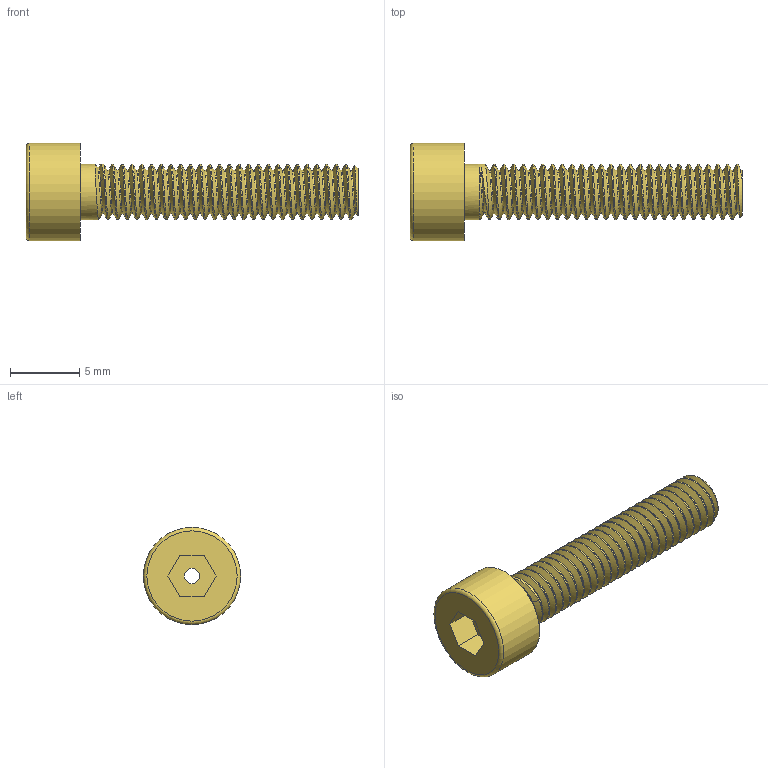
import cadquery as cq
import math

HEAD_DIAMETER = 7.0
HEAD_HEIGHT = 3.91
HEAD_EDGE_RADIUS = 0.25

SOCKET_ACROSS_FLATS = 3.0
SOCKET_DEPTH = 2.0
BORE_DIAMETER = 1.1

THREAD_DIAMETER = 4.0
THREAD_RADIUS = THREAD_DIAMETER / 2
PITCH = 0.7
SHANK_LENGTH = 20.0
TIP_CHAMFER = 0.32

FLANK_HALF_ANGLE = math.radians(30)
CREST_WIDTH = PITCH / 8
ROOT_WIDTH = PITCH / 6
THREAD_DEPTH = (PITCH - CREST_WIDTH - ROOT_WIDTH) / 2 / math.tan(FLANK_HALF_ANGLE)
ROOT_RADIUS = THREAD_RADIUS - THREAD_DEPTH
CUTTER_CLEARANCE = 0.05
CUT_TOLERANCE = 1e-4

FULL_DEPTH_START = 2 * PITCH
FULL_DEPTH_ANGLE = 240
RUN_OUT_ANGLE = 120
RUN_OUT_SECTIONS = 7

TOTAL_LENGTH = HEAD_HEIGHT + SHANK_LENGTH


def on_head_end():
    """Workplane on the outer end of the head; the screw is modelled upright, with its tip up."""
    return cq.Workplane("XY").workplane(offset=-HEAD_HEIGHT)


def make_head():
    head = on_head_end().circle(HEAD_DIAMETER / 2).extrude(HEAD_HEIGHT)
    return head.faces("<Z").edges().fillet(HEAD_EDGE_RADIUS)


def groove_profile(lift=0.0):
    """Section of the groove cutter in the XZ plane, moved out from the axis by lift."""
    outer_radius = THREAD_RADIUS + CUTTER_CLEARANCE
    half_root = ROOT_WIDTH / 2
    half_mouth = half_root + (outer_radius - ROOT_RADIUS) * math.tan(FLANK_HALF_ANGLE)
    return cq.Workplane("XZ").polyline([
        (ROOT_RADIUS + lift, -half_root),
        (outer_radius + lift, -half_mouth),
        (outer_radius + lift, half_mouth),
        (ROOT_RADIUS + lift, half_root),
    ]).close()


def place_on_helix(shape, turn):
    """Move a shape from the XZ plane along the thread, turn degrees on from the full-depth start."""
    height = FULL_DEPTH_START + PITCH * turn / 360
    return shape.rotate((0, 0, 0), (0, 0, 1), FULL_DEPTH_ANGLE + turn).translate((0, 0, height))


def make_groove_cutter():
    """Full-depth helical cutter, running on past the tip."""
    length = SHANK_LENGTH - FULL_DEPTH_START + PITCH
    path = cq.Workplane(cq.Wire.makeHelix(PITCH, length, ROOT_RADIUS))
    return place_on_helix(groove_profile().sweep(path, isFrenet=True), 0)


def make_run_out_cutter():
    """Start of the groove, sinking from the shank surface to full depth."""
    sections = []
    for index in range(RUN_OUT_SECTIONS):
        remaining = 1 - index / (RUN_OUT_SECTIONS - 1)
        profile = groove_profile(lift=THREAD_DEPTH * remaining).wire().val()
        sections.append(place_on_helix(profile, -RUN_OUT_ANGLE * remaining))
    return cq.Workplane(cq.Solid.makeLoft(sections))


def make_shank():
    """Threaded shank; the tip is chamfered after the thread is cut."""
    blank = cq.Workplane("XY").circle(THREAD_RADIUS).extrude(SHANK_LENGTH)
    chamfered_blank = blank.faces(">Z").chamfer(TIP_CHAMFER)
    threaded = blank.cut(make_groove_cutter(), tol=CUT_TOLERANCE).cut(make_run_out_cutter())
    return threaded.intersect(chamfered_blank)


def make_socket():
    across_corners = SOCKET_ACROSS_FLATS / math.cos(math.pi / 6)
    socket = on_head_end().polygon(6, across_corners).extrude(SOCKET_DEPTH)
    return socket.rotate((0, 0, 0), (0, 0, 1), 90)


def make_bore():
    return on_head_end().circle(BORE_DIAMETER / 2).extrude(TOTAL_LENGTH)


screw = make_head().union(make_shank()).cut(make_socket()).cut(make_bore())

result = screw.rotate((0, 0, 0), (0, 1, 0), 90)